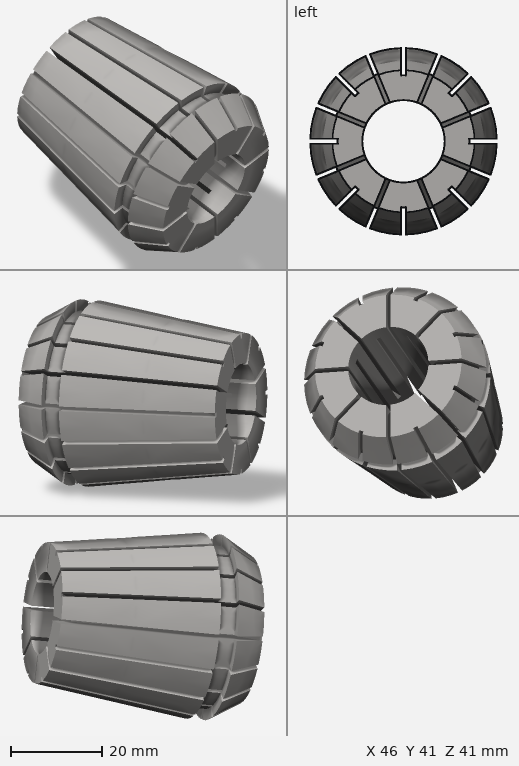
import cadquery as cq
import math

LENGTH = 46.0
MAX_DIAMETER = 41.0
MAX_RADIUS = MAX_DIAMETER / 2
NOSE_RADIUS = 15.6
GROOVE_RADIUS = 18.0
REAR_RADIUS = 16.45
BORE_RADIUS = 9.0

GROOVE_START = 34.85
GROOVE_END = 39.0

SLOTS_PER_END = 8
SLOT_PITCH = 360 / SLOTS_PER_END
SLOT_WIDTH = 1.0
SAW_RADIUS = 34.95
NOSE_WEB_LENGTH = 5.8
NOSE_WEB_RADIUS = 14.55
REAR_WEB_LENGTH = 5.25
REAR_WEB_RADIUS = 15.82


def make_body():
    """Bored collet blank: long taper, extraction groove and short rear taper."""
    half_profile = [
        (0, BORE_RADIUS),
        (0, NOSE_RADIUS),
        (GROOVE_START, MAX_RADIUS),
        (GROOVE_START, GROOVE_RADIUS),
        (GROOVE_END, GROOVE_RADIUS),
        (GROOVE_END, MAX_RADIUS),
        (LENGTH, REAR_RADIUS),
        (LENGTH, BORE_RADIUS),
    ]
    profile = cq.Workplane("XY").polyline(half_profile).close()
    return profile.revolve(360, (0, 0, 0), (1, 0, 0))


def slot_blade(web_length, web_radius):
    """Slot volume above the axis, with its blind end at the nose face."""
    rise = web_radius - BORE_RADIUS
    chord = math.hypot(web_length, rise)
    sagitta = SAW_RADIUS - math.sqrt(SAW_RADIUS**2 - (chord / 2) ** 2)
    arc_middle = (
        web_length / 2 - sagitta * rise / chord,
        (BORE_RADIUS + web_radius) / 2 - sagitta * web_length / chord,
    )
    outline = (
        cq.Workplane("XY")
        .moveTo(web_length, 0)
        .lineTo(web_length, BORE_RADIUS)
        .threePointArc(arc_middle, (0, web_radius))
        .lineTo(0, MAX_RADIUS)
        .lineTo(LENGTH, MAX_RADIUS)
        .lineTo(LENGTH, 0)
        .close()
    )
    return outline.extrude(SLOT_WIDTH / 2, both=True)


def cut_slots(body, blade, first_angle):
    """Cut the blade into the body at every slot pitch around the axis."""
    for index in range(SLOTS_PER_END):
        angle = first_angle + index * SLOT_PITCH
        body = body.cut(blade.rotate((0, 0, 0), (1, 0, 0), angle))
    return body


blade_from_rear = slot_blade(NOSE_WEB_LENGTH, NOSE_WEB_RADIUS)
blade_from_nose = slot_blade(REAR_WEB_LENGTH, REAR_WEB_RADIUS).mirror("YZ").translate((LENGTH, 0, 0))

collet = make_body()
collet = cut_slots(collet, blade_from_rear, 0)
collet = cut_slots(collet, blade_from_nose, SLOT_PITCH / 2)

result = collet